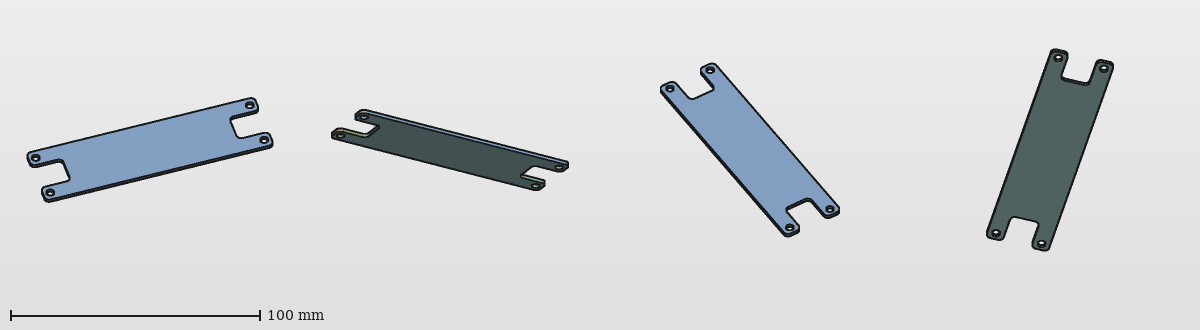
import cadquery as cq

length = 96.0
width = 26.0
thickness = 1.5

notch_width = 11.9
notch_depth = 12.9
leg_corner_radius = 2.0
notch_corner_radius = 2.0

hole_diameter = 3.2
hole_spacing_x = 19.0
hole_end_distance = 3.0
hole_spacing_y = length - 2 * hole_end_distance


def end_notches():
    """Two rectangular cutters with rounded inner corners, one at each end."""
    return (
        cq.Workplane("XY")
        .rarray(1, length, 1, 2)
        .rect(notch_width, 2 * notch_depth)
        .extrude(thickness)
        .edges("|Z")
        .fillet(notch_corner_radius)
    )


plate = cq.Workplane("XY").box(width, length, thickness, centered=(True, True, False))
plate = plate.cut(end_notches())

leg_tips = plate.faces("<Y or >Y").edges("|Z")
plate = leg_tips.fillet(leg_corner_radius)

result = (
    plate.faces(">Z")
    .workplane(origin=(0, 0, thickness))
    .rarray(hole_spacing_x, hole_spacing_y, 2, 2)
    .hole(hole_diameter)
)